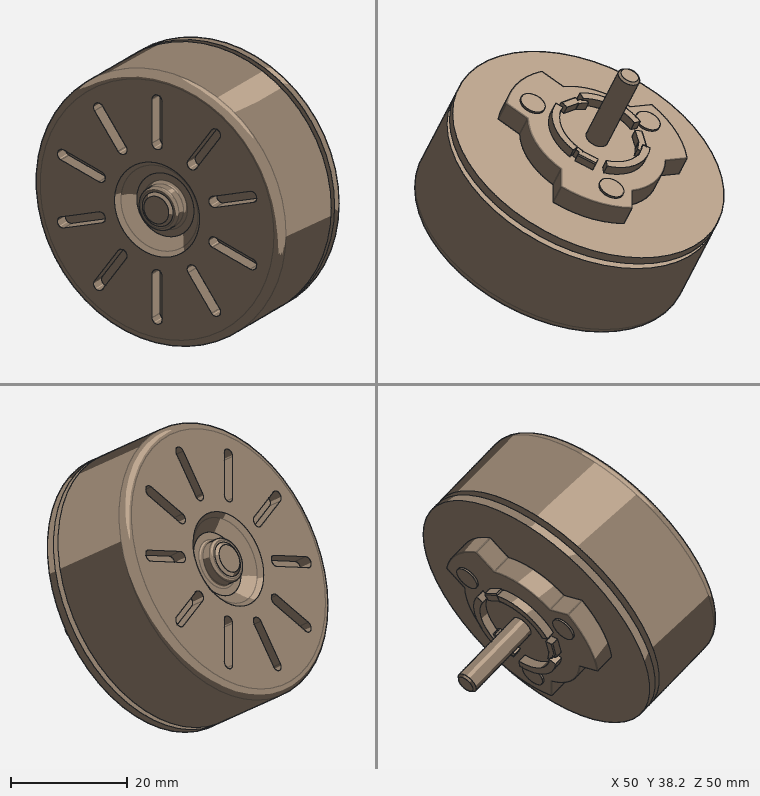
import cadquery as cq
import math

AXIS_PLANE = "XZ"

shaft_radius = 2.0
shaft_end_y = 19.15
shaft_tip_chamfer = 0.4

outer_radius = 25.0
plate_thickness = 1.5
air_gap = 1.1
rotor_length = 16.25
rotor_edge_fillet = 1.5
rotor_rear_y = -plate_thickness - air_gap
rotor_front_y = rotor_rear_y - rotor_length

recess_rim_radius = 8.55
recess_cone_radius = 7.75
recess_floor_radius = 5.75
recess_rim_depth = 0.8
recess_depth = 2.7
recess_floor_y = rotor_front_y + recess_depth

hub_radius = 3.95
hub_fillet = 0.5
hub_shoulder_depth = 0.2
hub_nose_radius = 3.1
hub_tip_radius = 2.5
hub_nose_overhang = 0.25
hub_shoulder_y = rotor_front_y + hub_shoulder_depth
hub_tip_y = rotor_front_y - hub_nose_overhang

slot_count = 10
slot_inner_radius = 11.0
slot_outer_radius = 21.0
slot_width = 2.0
slot_depth = 2.6
first_slot_angle = 90

lobe_count = 3
lobe_pitch = 360 / lobe_count
mount_radius = 12.7
mount_lobe_radius = 16.8
mount_lobe_width = 13.1
mount_height = 3.9
mount_edge_fillet = 0.12
first_lobe_angle = 30

pad_radius = 2.25
pad_circle_radius = 12.5
pad_height = 0.35
first_pad_angle = 18

ring_outer_radius = 9.05
ring_inner_radius = 7.65
ring_bottom_y = 4.25
ring_top_y = 5.9
segment_start_angle = 64.5
segment_sweep = 78.5
tab_angle = 46.5
tab_face_distance = 8.5
tab_thickness = 1.45
tab_width = 3.45
tab_top_y = 5.4
tab_edge_chamfer = 0.2
neck_outer_radius = 7.9
neck_sweep = 8
neck_inner_radius = tab_face_distance - tab_thickness


def disc(radius, front_y, rear_y):
    """Cylinder about the Y axis between two Y positions."""
    return cq.Workplane(AXIS_PLANE, origin=(0, rear_y, 0)).circle(radius).extrude(rear_y - front_y)


def polar(radius, angle):
    return (radius * math.cos(math.radians(angle)), radius * math.sin(math.radians(angle)))


def ring_sector(inner, outer, start, sweep, front_y, rear_y):
    """Part of a ring about the Y axis, from the start angle through the sweep."""
    middle = start + sweep / 2
    end = start + sweep
    return (
        cq.Workplane(AXIS_PLANE, origin=(0, rear_y, 0))
        .moveTo(*polar(inner, start))
        .lineTo(*polar(outer, start))
        .threePointArc(polar(outer, middle), polar(outer, end))
        .lineTo(*polar(inner, end))
        .threePointArc(polar(inner, middle), polar(inner, start))
        .close()
        .extrude(rear_y - front_y)
    )


def recess_cutter():
    profile = [
        (0, rotor_front_y),
        (recess_rim_radius, rotor_front_y),
        (recess_cone_radius, rotor_front_y + recess_rim_depth),
        (recess_floor_radius, recess_floor_y),
        (0, recess_floor_y),
    ]
    return cq.Workplane("XY").polyline(profile).close().revolve(360, (0, 0, 0), (0, 1, 0))


def slot_cutter(angle):
    slot_length = slot_outer_radius - slot_inner_radius
    slot_middle = (slot_outer_radius + slot_inner_radius) / 2
    return (
        cq.Workplane(AXIS_PLANE, origin=(0, rotor_front_y + slot_depth, 0))
        .center(slot_middle, 0)
        .slot2D(slot_length, slot_width)
        .extrude(slot_depth)
        .rotate((0, 0, 0), (0, 1, 0), angle)
    )


def make_hub():
    """Stepped hub with a concave root fillet and a rounded shoulder below a conical nose."""
    root_radius = hub_radius + hub_fillet
    shoulder_radius = hub_radius - hub_fillet
    bulge = hub_fillet * math.sqrt(0.5)
    root_centre_y = recess_floor_y - hub_fillet
    bend_centre_y = hub_shoulder_y + hub_fillet
    return (
        cq.Workplane("XY")
        .moveTo(0, recess_floor_y)
        .lineTo(root_radius, recess_floor_y)
        .threePointArc((root_radius - bulge, root_centre_y + bulge), (hub_radius, root_centre_y))
        .lineTo(hub_radius, bend_centre_y)
        .threePointArc((shoulder_radius + bulge, bend_centre_y - bulge), (shoulder_radius, hub_shoulder_y))
        .lineTo(hub_nose_radius, hub_shoulder_y)
        .lineTo(hub_tip_radius, hub_tip_y)
        .lineTo(0, hub_tip_y)
        .close()
        .revolve(360, (0, 0, 0), (0, 1, 0))
    )


def make_rotor():
    rotor = disc(outer_radius, rotor_front_y, rotor_rear_y)
    rotor = rotor.faces("<Y").edges().fillet(rotor_edge_fillet)
    rotor = rotor.cut(recess_cutter())
    rotor = rotor.union(make_hub())
    for i in range(slot_count):
        rotor = rotor.cut(slot_cutter(first_slot_angle + i * 360 / slot_count))
    return rotor.cut(disc(shaft_radius, recess_floor_y, rotor_rear_y))


def make_shaft():
    shaft = disc(shaft_radius, recess_floor_y, shaft_end_y)
    return shaft.faces(">Y").edges().chamfer(shaft_tip_chamfer)


def make_plate():
    return disc(outer_radius, -plate_thickness, 0).cut(disc(shaft_radius, -plate_thickness, 0))


def make_tab(angle):
    """Flat-faced upright tab with its outer top edge chamfered."""
    return (
        cq.Workplane("XY")
        .box(tab_thickness, tab_top_y - mount_height, tab_width, centered=(False, False, True))
        .edges(">X and >Y")
        .chamfer(tab_edge_chamfer)
        .translate((tab_face_distance - tab_thickness, mount_height, 0))
        .rotate((0, 0, 0), (0, 1, 0), -angle)
    )


def make_mount():
    mount = disc(mount_radius, 0, mount_height)
    lobe_limit = disc(mount_lobe_radius, 0, mount_height)
    for i in range(lobe_count):
        lobe = (
            cq.Workplane("XY")
            .box(mount_lobe_radius, mount_height, mount_lobe_width, centered=(False, False, True))
            .rotate((0, 0, 0), (0, 1, 0), -(first_lobe_angle + i * lobe_pitch))
        )
        mount = mount.union(lobe.intersect(lobe_limit))
    mount = mount.edges("|Y").fillet(mount_edge_fillet)
    mount = mount.faces("<Y or >Y").edges().fillet(mount_edge_fillet)
    for i in range(lobe_count):
        turn = i * lobe_pitch
        pad_x, pad_z = polar(pad_circle_radius, first_pad_angle + turn)
        pad = disc(pad_radius, mount_height, mount_height + pad_height).translate((pad_x, 0, pad_z))
        segment = ring_sector(
            ring_inner_radius, ring_outer_radius,
            segment_start_angle + turn, segment_sweep, ring_bottom_y, ring_top_y,
        )
        neck = ring_sector(
            neck_inner_radius, neck_outer_radius,
            segment_start_angle - neck_sweep + turn, 2 * neck_sweep, mount_height, tab_top_y,
        )
        mount = mount.union(pad).union(segment.union(neck)).union(make_tab(tab_angle + turn))
    return mount.cut(disc(shaft_radius, 0, mount_height))


rotor = make_rotor()
shaft = make_shaft()
plate = make_plate()
mount = make_mount()

result = cq.Compound.makeCompound([rotor.val(), shaft.val(), plate.val(), mount.val()])